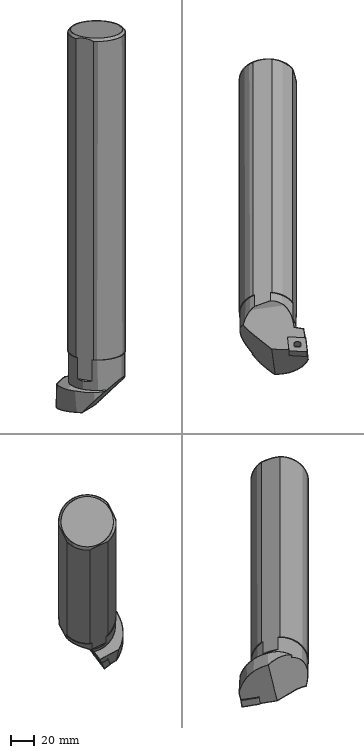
import cadquery as cq
import math


shank_radius = 25.0
top_z = 351.5
top_chamfer = 2.3
flat_offset = 23.5
flat_end_z = 36.7

neck_radius = 24.5
neck_top_z = 56.1

head_front_y = -28.44
head_arc_radius = 31.75
head_arc_x = -5.3
blend_arc_radius = 22.5
blend_arc_x = -0.2
blend_arc_sweep = 55.0
collar_top_z = 28.1
collar_slope = 0.25
head_low_z = -5.0

side_face_point = (-32.1, 2.7, 27.0)
side_face_normal = (-1.0, -0.07, 0.084)
end_face_point = (-3.6, 6.0, 3.5)
end_face_normal = (0.087, -0.118, -1.0)
back_face_point = (24.5, 0.0, 34.9)
back_face_angle = 47.4

nose_x = -34.95
nose_z = -0.12
side_rake = 11.0
axial_rake = 5.7
gullet_axis_fall = 10.0
gullet_arc_start = 27.0
gullet_arc_radius = 31.0
gullet_arc_sweep = 90.0
insert_inscribed_diameter = 15.875
insert_thickness = 6.35
insert_hole_diameter = 6.35
insert_corner_angle = 80.0
insert_nose_radius = 1.2
insert_lean = 45.0
half_corner = math.radians(insert_corner_angle / 2)
half_long = insert_inscribed_diameter / 2 / math.sin(half_corner)
half_short = insert_inscribed_diameter / 2 / math.cos(half_corner)

clearance = 120.0


def trim(body, point, normal):
    """Remove everything on the outward side of a plane."""
    plane = cq.Plane(origin=point, normal=normal)
    cutter = cq.Workplane(plane).rect(clearance, clearance).extrude(clearance)
    return body.cut(cutter)


def arc_point(center, radius, degrees):
    angle = math.radians(degrees)
    return (center[0] + radius * math.cos(angle), center[1] + radius * math.sin(angle))


rake = math.radians(side_rake)
across_gullet = cq.Vector(math.cos(rake), math.sin(rake), 0)
out_of_gullet = cq.Vector(-math.sin(rake), math.cos(rake), 0)
nose = cq.Vector(nose_x, 0, nose_z)

tilt = math.radians(axial_rake)
seat_normal = cq.Vector(0, 0, math.sin(tilt)) - out_of_gullet * math.cos(tilt)
insert_plane = cq.Plane(origin=nose, xDir=across_gullet, normal=seat_normal)

up_the_floor = seat_normal.cross(across_gullet)
fall = math.radians(gullet_axis_fall)
gullet_axis = across_gullet * math.cos(fall) - up_the_floor * math.sin(fall)
gullet_plane = cq.Plane(origin=nose, xDir=seat_normal * -1, normal=gullet_axis)


def make_shank():
    shank = cq.Workplane("XY").workplane(offset=neck_top_z).circle(shank_radius).extrude(top_z - neck_top_z)
    shank = shank.faces(">Z").chamfer(top_chamfer)
    neck = cq.Workplane("XY").workplane(offset=head_low_z).circle(neck_radius).extrude(neck_top_z - head_low_z)
    return shank.union(neck)


def cut_shank_flats(body):
    """Three flats at -X, -Y and +Y, each with a 45-degree run-out at its lower end."""
    runout = shank_radius - flat_offset
    profile = (
        cq.Workplane("XZ", origin=(0, shank_radius, 0))
        .moveTo(flat_offset, flat_end_z)
        .lineTo(flat_offset + runout, flat_end_z - runout)
        .lineTo(2 * shank_radius, flat_end_z - runout)
        .lineTo(2 * shank_radius, top_z)
        .lineTo(flat_offset, top_z)
        .close()
        .extrude(2 * shank_radius)
    )
    for turn in (90, 180, 270):
        body = body.cut(profile.rotate((0, 0, 0), (0, 0, 1), turn))
    return body


def make_head():
    front_center = (head_arc_x, head_front_y + head_arc_radius)
    blend_center = (blend_arc_x, head_front_y + blend_arc_radius)
    blend_end = -90 + blend_arc_sweep
    head = (
        cq.Workplane("XY").workplane(offset=head_low_z)
        .moveTo(*arc_point(front_center, head_arc_radius, 180))
        .threePointArc(
            arc_point(front_center, head_arc_radius, 225),
            arc_point(front_center, head_arc_radius, 270),
        )
        .lineTo(blend_arc_x, head_front_y)
        .threePointArc(
            arc_point(blend_center, blend_arc_radius, -90 + blend_arc_sweep / 2),
            arc_point(blend_center, blend_arc_radius, blend_end),
        )
        .lineTo(0, 0)
        .lineTo(0, neck_radius / 2)
        .lineTo(front_center[0] - head_arc_radius, neck_radius / 2)
        .close()
        .extrude(collar_top_z - head_low_z + neck_radius * collar_slope)
    )
    cone_reach = 2 * shank_radius
    cone = (
        cq.Workplane("XZ")
        .moveTo(0, head_low_z)
        .lineTo(cone_reach, head_low_z)
        .lineTo(cone_reach, collar_top_z - (cone_reach - neck_radius) * collar_slope)
        .lineTo(0, collar_top_z + neck_radius * collar_slope)
        .close()
        .revolve(360, (0, 0, 0), (0, 1, 0))
    )
    return head.intersect(cone)


def make_gullet():
    """Chip space: flat floor along the rake, then a tangent arc sweeping out to the neck."""
    arc_center = (gullet_arc_radius, gullet_arc_start)
    arc_end = arc_point(arc_center, gullet_arc_radius, 180 - gullet_arc_sweep)
    low_end = -shank_radius
    return (
        cq.Workplane(gullet_plane)
        .moveTo(0, low_end)
        .lineTo(0, gullet_arc_start)
        .threePointArc(arc_point(arc_center, gullet_arc_radius, 180 - gullet_arc_sweep / 2), arc_end)
        .lineTo(clearance, arc_end[1])
        .lineTo(clearance, low_end)
        .close()
        .extrude(clearance, both=True)
    )


def make_insert_blank():
    """Rhombic prism standing on its nose, with its face in the gullet floor."""
    return (
        cq.Workplane(insert_plane)
        .transformed(rotate=(0, 0, -insert_lean))
        .polyline([
            (0, 0),
            (half_short, half_long),
            (0, 2 * half_long),
            (-half_short, half_long),
        ])
        .close()
        .extrude(insert_thickness)
        .edges(cq.selectors.ParallelDirSelector(seat_normal))
        .fillet(insert_nose_radius)
    )


def make_insert(blank):
    hole = (
        cq.Workplane(insert_plane)
        .transformed(rotate=(0, 0, -insert_lean))
        .center(0, half_long)
        .circle(insert_hole_diameter / 2)
        .extrude(insert_thickness)
    )
    return blank.cut(hole)


def make_holder(insert_blank):
    head = trim(make_head(), side_face_point, side_face_normal)
    body = cut_shank_flats(make_shank()).union(head)
    back_angle = math.radians(back_face_angle)
    body = trim(body, end_face_point, end_face_normal)
    body = trim(body, back_face_point, (math.sin(back_angle), 0, -math.cos(back_angle)))
    return body.cut(make_gullet()).cut(insert_blank)


insert_blank = make_insert_blank()
insert = make_insert(insert_blank)
holder = make_holder(insert_blank)

result = cq.Compound.makeCompound([*holder.solids().vals(), *insert.solids().vals()])